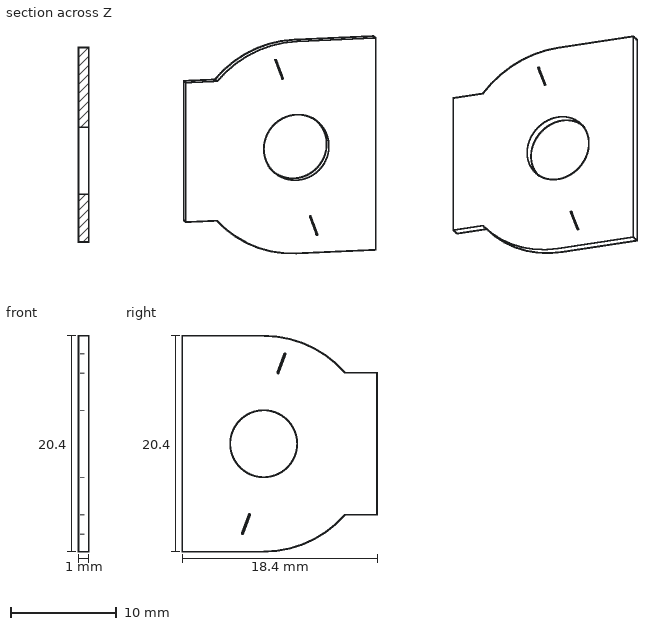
import cadquery as cq
import math

thickness = 1.0
height = 20.4
length = 18.4
hole_diameter = 6.3
straight_length = 7.7
tab_height = 13.42

slit_length = 1.98
slit_width = 0.1
slit_tilt = 20.5
slit_offset_y = 1.67
slit_offset_z = 7.59

shoulder_radius = height / 2
tab_half = tab_height / 2
shoulder_y = math.sqrt(shoulder_radius**2 - tab_half**2)
square_end_y = -straight_length
tab_end_y = length - straight_length

mid_angle = (math.pi / 2 + math.atan2(tab_half, shoulder_y)) / 2
mid_y = shoulder_radius * math.cos(mid_angle)
mid_z = shoulder_radius * math.sin(mid_angle)


def make_plate():
    """Square-ended plate with rounded shoulders leading to a narrower tab."""
    return (
        cq.Workplane("YZ")
        .moveTo(square_end_y, -shoulder_radius)
        .lineTo(0, -shoulder_radius)
        .threePointArc((mid_y, -mid_z), (shoulder_y, -tab_half))
        .lineTo(tab_end_y, -tab_half)
        .lineTo(tab_end_y, tab_half)
        .lineTo(shoulder_y, tab_half)
        .threePointArc((mid_y, mid_z), (0, shoulder_radius))
        .lineTo(square_end_y, shoulder_radius)
        .close()
        .extrude(thickness / 2, both=True)
    )


def make_slit(side):
    """Cutter for one tilted through slit; side is +1 (upper) or -1 (lower)."""
    return (
        cq.Workplane("XY")
        .box(thickness, slit_width, slit_length)
        .rotate((0, 0, 0), (1, 0, 0), -slit_tilt)
        .translate((0, side * slit_offset_y, side * slit_offset_z))
    )


hole = cq.Workplane("YZ").circle(hole_diameter / 2).extrude(thickness / 2, both=True)
result = make_plate().cut(hole)
for side in (1, -1):
    result = result.cut(make_slit(side))